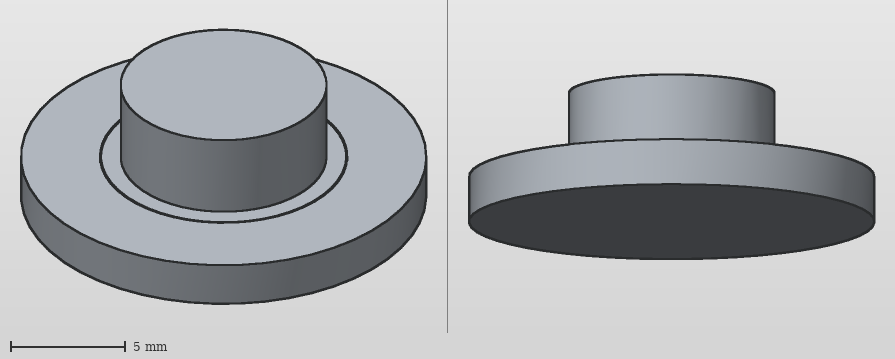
import cadquery as cq

overall_height = 5.7
disc_diameter = 17.7
disc_thickness = 2.0
recess_diameter = 10.8
recess_depth = disc_thickness / 2
base_diameter = 10.7
base_thickness = recess_depth
boss_diameter = 9.0
boss_height = overall_height - disc_thickness


def make_disc():
    """Flat disc, underside at Z = 0, with a blind round recess in its top face."""
    disc = cq.Workplane("XY").circle(disc_diameter / 2).extrude(disc_thickness)
    return disc.faces(">Z").workplane().circle(recess_diameter / 2).cutBlind(-recess_depth)


def make_plug():
    """Stepped plug resting on the recess floor: a base with side clearance and a boss above it."""
    recess_floor_z = disc_thickness - recess_depth
    base = (
        cq.Workplane("XY")
        .workplane(offset=recess_floor_z)
        .circle(base_diameter / 2)
        .extrude(base_thickness)
    )
    return base.faces(">Z").workplane().circle(boss_diameter / 2).extrude(boss_height)


disc = make_disc()
plug = make_plug()

result = cq.Compound.makeCompound([disc.val(), plug.val()])